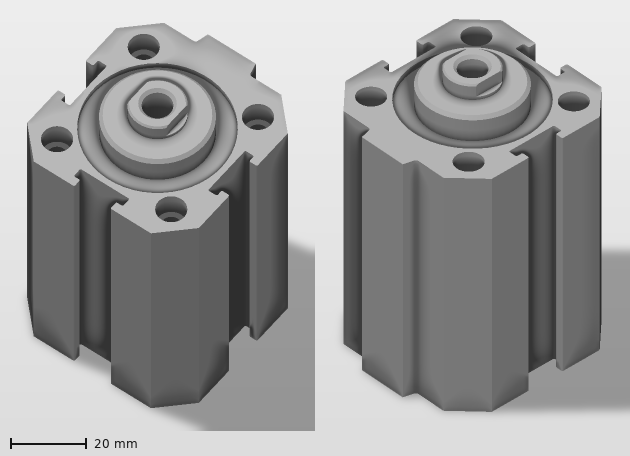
import cadquery as cq
import math

body_width = 57.0
body_height = 78.5
corner_chamfer = 9.0
half_width = body_width / 2

rail_height = 4.0
rail_top_width = 15.9
rail_foot_width = 17.9
rail_foot_radius = 1.0

slot_count = 3
slot_mouth_width = 12.0
slot_inner_width = 16.3
slot_lip_thickness = 2.6
slot_depth = 5.55
slot_corner_radius = 0.45
slot_lip_radius = 0.4

mount_spacing = 37.95
mount_hole_diameter = 5.3
mount_bore_diameter = 8.5
mount_bore_depth = 7.0

recess_diameter = 42.5
recess_depth = 2.0
collar_diameter = 31.0
collar_height = 6.0
collar_chamfer = 1.0

overall_height = 89.5
rod_diameter = 16.0
rod_length = 30.0
rod_chamfer = 0.5
flats_width = 13.0
flats_height = 4.0
rod_hole_diameter = 8.4
rod_hole_depth = 15.0
rod_hole_chamfer = 0.9
rod_bottom = overall_height - rod_length


def cut_t_slot(block):
    """Cut a T-slot with rounded lips into the -Y face, running the full height."""
    face = -half_width
    mouth = (
        cq.Workplane("XY")
        .center(0, face + slot_depth / 2)
        .rect(slot_mouth_width, slot_depth)
        .extrude(body_height)
    )
    chamber_depth = slot_depth - slot_lip_thickness
    chamber = (
        cq.Workplane("XY")
        .center(0, face + slot_lip_thickness + chamber_depth / 2)
        .rect(slot_inner_width, chamber_depth)
        .extrude(body_height)
        .edges("|Z")
        .fillet(slot_corner_radius)
    )
    half_mouth = slot_mouth_width / 2
    block = block.cut(mouth.union(chamber))
    for side in (-1, 1):
        for depth in (0, slot_lip_thickness):
            lip_edge = cq.selectors.NearestToPointSelector(
                (side * half_mouth, face + depth, body_height / 2)
            )
            block = block.edges(lip_edge).fillet(slot_lip_radius)
    return block


def rail():
    """Tapered rail on the +Y face with rounded inside corners at its foot."""
    foot = rail_foot_width / 2
    top = rail_top_width / 2
    slope = math.atan2(rail_height, foot - top)
    tangent = rail_foot_radius * math.tan(slope / 2)
    flank = (foot - tangent * math.cos(slope), half_width + tangent * math.sin(slope))
    toe = (foot + tangent, half_width)
    arc_centre = (foot + tangent, half_width + rail_foot_radius)
    middle_angle = -math.pi / 2 - slope / 2
    middle = (
        arc_centre[0] + rail_foot_radius * math.cos(middle_angle),
        arc_centre[1] + rail_foot_radius * math.sin(middle_angle),
    )
    crest = half_width + rail_height
    return (
        cq.Workplane("XY")
        .moveTo(0, 0)
        .lineTo(toe[0], 0)
        .lineTo(*toe)
        .threePointArc(middle, flank)
        .lineTo(top, crest)
        .lineTo(-top, crest)
        .lineTo(-flank[0], flank[1])
        .threePointArc((-middle[0], middle[1]), (-toe[0], toe[1]))
        .lineTo(-toe[0], 0)
        .close()
        .extrude(body_height)
    )


def make_housing():
    housing = (
        cq.Workplane("XY")
        .rect(body_width, body_width)
        .extrude(body_height)
        .edges("|Z")
        .chamfer(corner_chamfer)
    )

    for _ in range(slot_count):
        housing = cut_t_slot(housing).rotate((0, 0, 0), (0, 0, 1), 90)
    housing = housing.rotate((0, 0, 0), (0, 0, 1), 180).union(rail())

    housing = (
        housing.faces(">Z")
        .workplane(origin=(0, 0, body_height))
        .rect(mount_spacing, mount_spacing, forConstruction=True)
        .vertices()
        .cboreHole(mount_hole_diameter, mount_bore_diameter, mount_bore_depth)
    )

    recess_floor = body_height - recess_depth
    recess = (
        cq.Workplane("XY", origin=(0, 0, recess_floor))
        .circle(recess_diameter / 2)
        .extrude(recess_depth)
    )
    collar = (
        cq.Workplane("XY", origin=(0, 0, recess_floor))
        .circle(collar_diameter / 2)
        .extrude(recess_depth + collar_height)
        .faces(">Z")
        .chamfer(collar_chamfer)
    )
    housing = housing.cut(recess).union(collar)

    rod_bore = (
        cq.Workplane("XY", origin=(0, 0, rod_bottom))
        .circle(rod_diameter / 2)
        .extrude(rod_length)
    )
    return housing.cut(rod_bore)


def make_rod():
    rod = (
        cq.Workplane("XY", origin=(0, 0, rod_bottom))
        .circle(rod_diameter / 2)
        .extrude(rod_length)
        .faces(">Z")
        .chamfer(rod_chamfer)
    )

    flat_cut = (rod_diameter - flats_width) / 2
    for side in (-1, 1):
        flat = (
            cq.Workplane("XY", origin=(0, 0, overall_height - flats_height))
            .center(side * (flats_width + flat_cut) / 2, 0)
            .rect(flat_cut, rod_diameter)
            .extrude(flats_height)
        )
        rod = rod.cut(flat)

    hole_radius = rod_hole_diameter / 2
    mouth_radius = hole_radius + rod_hole_chamfer
    hole_bottom = overall_height - rod_hole_depth
    hole = (
        cq.Workplane("XZ")
        .moveTo(0, hole_bottom)
        .lineTo(hole_radius, hole_bottom)
        .lineTo(hole_radius, overall_height - rod_hole_chamfer)
        .lineTo(mouth_radius, overall_height)
        .lineTo(0, overall_height)
        .close()
        .revolve(360, (0, 0, 0), (0, 1, 0))
    )
    return rod.cut(hole)


housing = make_housing()
rod = make_rod()

result = cq.Compound.makeCompound([housing.val(), rod.val()])